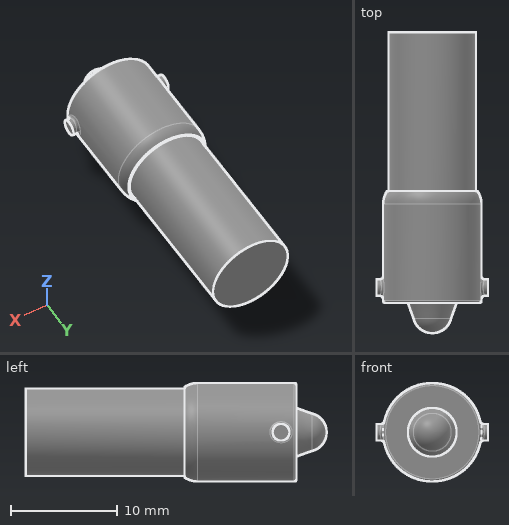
import cadquery as cq
import math

total_length = 28.3

tube_radius = 4.13

shell_radius = 4.65
shell_length = 9.3
rim_fillet = 0.25
shoulder_length = 1.22
shoulder_end_radius = 4.27

cone_base_radius = 2.3
cone_end_radius = 1.78
cone_length = 1.41
cap_height = 1.41

pin_span = 10.5
pin_radius = 0.8
pin_setback = 1.47
pin_root_fillet = 0.25

search_margin = 0.08

tip_y = -total_length / 2
cone_end_y = tip_y + cap_height
shell_front_y = cone_end_y + cone_length
shoulder_y = shell_front_y + shell_length
shell_rear_y = shoulder_y + shoulder_length
tube_end_y = total_length / 2
pin_y = shell_front_y + pin_setback


def make_shell():
    """Shell and tube, revolved about Y."""
    profile = (
        cq.Workplane("XY")
        .moveTo(0, shell_front_y)
        .lineTo(shell_radius - rim_fillet, shell_front_y)
        .tangentArcPoint((shell_radius, shell_front_y + rim_fillet), relative=False)
        .lineTo(shell_radius, shoulder_y)
        .tangentArcPoint((shoulder_end_radius, shell_rear_y), relative=False)
        .lineTo(tube_radius, shell_rear_y)
        .lineTo(tube_radius, tube_end_y)
        .lineTo(0, tube_end_y)
        .close()
    )
    return profile.revolve(360, (0, 0, 0), (0, 1, 0))


def make_contact_tip():
    """Cone and spherical cap, revolved about Y."""
    cap_radius = (cone_end_radius**2 + cap_height**2) / (2 * cap_height)
    cap_centre_y = tip_y + cap_radius
    half_angle = math.acos((cap_centre_y - cone_end_y) / cap_radius) / 2
    cap_middle = (
        cap_radius * math.sin(half_angle),
        cap_centre_y - cap_radius * math.cos(half_angle),
    )
    profile = (
        cq.Workplane("XY")
        .moveTo(0, tip_y)
        .threePointArc(cap_middle, (cone_end_radius, cone_end_y))
        .lineTo(cone_base_radius, shell_front_y)
        .lineTo(0, shell_front_y)
        .close()
    )
    return profile.revolve(360, (0, 0, 0), (0, 1, 0))


def make_pins():
    """One round bar across the shell, its two ends forming the pins."""
    return (
        cq.Workplane("YZ")
        .center(pin_y, 0)
        .circle(pin_radius)
        .extrude(pin_span / 2, both=True)
    )


def pin_root_edges(body):
    """Closed curves where the pins meet the shell."""
    reach = pin_radius + search_margin
    outer_reach = shell_radius + search_margin
    root_zone = cq.selectors.BoxSelector(
        (-outer_reach, pin_y - reach, -reach),
        (outer_reach, pin_y + reach, reach),
        boundingbox=True,
    )
    return body.edges(root_zone)


body = make_shell().union(make_pins())
body = pin_root_edges(body).fillet(pin_root_fillet)
result = body.union(make_contact_tip())